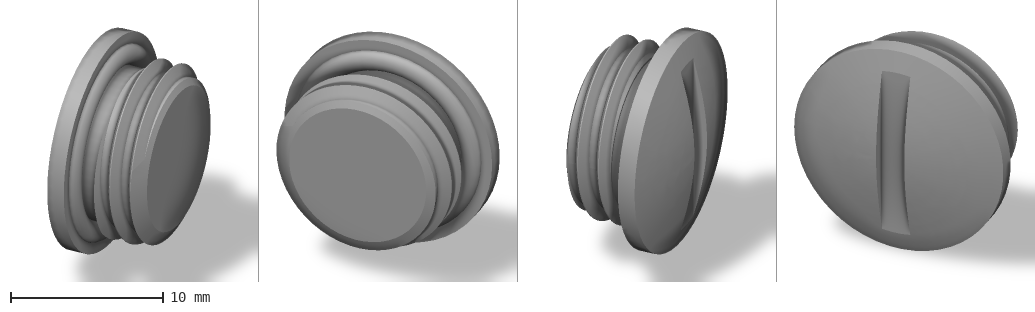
import cadquery as cq
import math


head_radius = 7.5
dome_height = 1.44
dome_roundness = 6.0
rim_thickness = 1.2
length = 7.48
slot_width = 2.02
slot_depth = 1.02

neck_radius = 5.25
neck_end = 4.08
core_radius = 5.4
tip_radius = 4.95
tip_chamfer_angle = 28.0

crest_radius = 6.18
pitch = 1.5
crest_width = 0.08
flank_angle = 30.0
crest_at_bottom = 4.25
trim_margin = 0.15
root_overlap = 0.08

ring_cord_radius = 0.75
ring_protrusion = 0.54

head_back = dome_height + rim_thickness
ring_center_radius = neck_radius + ring_cord_radius
ring_center_x = head_back + ring_protrusion - ring_cord_radius


def revolve_about_x(profile):
    return profile.close().revolve(360, (0, 0, 0), (1, 0, 0))


def make_head_and_neck():
    asymptote_slope = dome_height / (math.hypot(dome_roundness, head_radius) - dome_roundness)
    mid_radius = head_radius / 2
    mid_x = asymptote_slope * (math.hypot(dome_roundness, mid_radius) - dome_roundness)
    rim_slope = asymptote_slope * head_radius / math.hypot(dome_roundness, head_radius)
    return revolve_about_x(
        cq.Workplane("XY")
        .spline(
            [(mid_x, mid_radius), (dome_height, head_radius)],
            tangents=[(0, 1), (rim_slope, 1)],
            includeCurrent=True,
        )
        .lineTo(head_back, head_radius)
        .lineTo(head_back, neck_radius)
        .lineTo(neck_end, neck_radius)
        .lineTo(neck_end, 0)
    )


def make_shank_envelope():
    """Solid that bounds the threaded shank: flat at the neck, conical at the tip."""
    outer_radius = crest_radius + trim_margin
    chamfer_length = (outer_radius - tip_radius) * math.tan(math.radians(tip_chamfer_angle))
    return revolve_about_x(
        cq.Workplane("XY")
        .moveTo(neck_end, 0)
        .lineTo(neck_end, outer_radius)
        .lineTo(length - chamfer_length, outer_radius)
        .lineTo(length, tip_radius)
        .lineTo(length, 0)
    )


def make_thread_ridge():
    """Helical ridge, longer than the shank at both ends."""
    start = crest_at_bottom - pitch
    turns = math.ceil((length - start) / pitch)
    root_radius = core_radius - root_overlap
    half_crest = crest_width / 2
    half_root = half_crest + (crest_radius - root_radius) * math.tan(math.radians(flank_angle))
    helix = cq.Wire.makeHelix(pitch, turns * pitch, root_radius)
    ridge = (
        cq.Workplane("XZ")
        .moveTo(root_radius, -half_root)
        .lineTo(crest_radius, -half_crest)
        .lineTo(crest_radius, half_crest)
        .lineTo(root_radius, half_root)
        .close()
        .sweep(cq.Workplane(helix), isFrenet=True)
    )
    return ridge.rotate((0, 0, 0), (0, 1, 0), 90).translate((start, 0, 0))


def make_threaded_shank():
    """Core and ridge are joined overlong, then trimmed together at both ends."""
    overlong_start = crest_at_bottom - 2 * pitch
    overlong_length = length + 2 * pitch - overlong_start
    core = cq.Workplane("YZ", origin=(overlong_start, 0, 0)).circle(core_radius).extrude(overlong_length)
    return core.union(make_thread_ridge()).intersect(make_shank_envelope())


def make_sealing_ring():
    return (
        cq.Workplane("XY")
        .center(ring_center_x, ring_center_radius)
        .circle(ring_cord_radius)
        .revolve(360, (0, -ring_center_radius, 0), (1, -ring_center_radius, 0))
    )


def make_slot():
    return cq.Workplane("XY").box(2 * slot_depth, slot_width, 2 * head_radius)


def make_screw():
    screw = make_head_and_neck().union(make_threaded_shank())
    return screw.cut(make_slot()).cut(make_sealing_ring())


screw = make_screw()
sealing_ring = make_sealing_ring()

result = cq.Compound.makeCompound([screw.solids().val(), sealing_ring.val()])